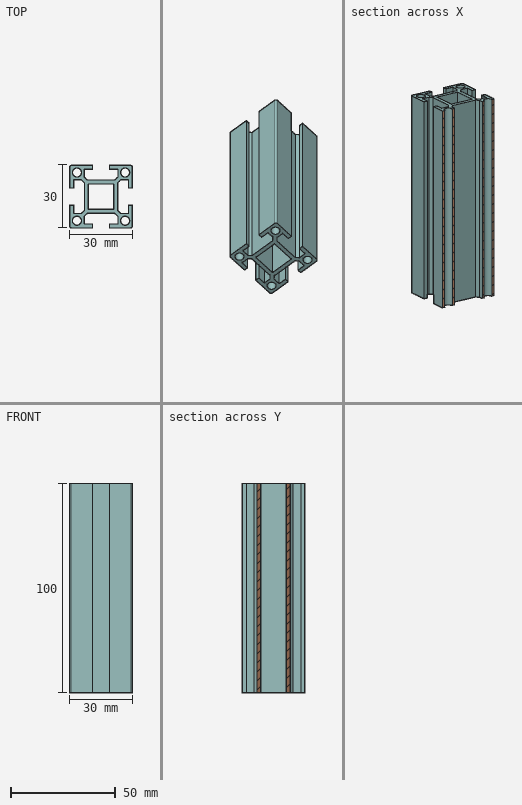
import cadquery as cq

side = 30.0
length = 100.0
corner_radius = 1.0
wall = 2.0

slot_opening = 8.0
lip_thickness = wall
cavity_width = 16.0
slot_depth = 7.0
cavity_chamfer = 1.4

core_square = side - 2 * slot_depth - 2 * wall
corner_hole_diameter = 4.2
corner_hole_spacing = 23.0


def make_t_slot():
    """T-slot cutter running the full length, opening on the +Y face."""
    cavity_depth = slot_depth - lip_thickness
    cavity_center = side / 2 - lip_thickness - cavity_depth / 2
    cavity = (
        cq.Workplane("XY")
        .center(0, cavity_center)
        .rect(cavity_width, cavity_depth)
        .extrude(length)
        .edges("|Z and <Y")
        .chamfer(cavity_chamfer)
    )
    opening = (
        cq.Workplane("XY")
        .center(0, side / 2 - slot_depth / 2)
        .rect(slot_opening, slot_depth)
        .extrude(length)
    )
    return cavity.union(opening)


result = (
    cq.Workplane("XY")
    .rect(side, side)
    .extrude(length)
    .edges("|Z")
    .fillet(corner_radius)
)

t_slot = make_t_slot()
for angle in (0, 90, 180, 270):
    result = result.cut(t_slot.rotate((0, 0, 0), (0, 0, 1), angle))

result = result.cut(cq.Workplane("XY").rect(core_square, core_square).extrude(length))

corner_holes = (
    cq.Workplane("XY")
    .rect(corner_hole_spacing, corner_hole_spacing, forConstruction=True)
    .vertices()
    .circle(corner_hole_diameter / 2)
    .extrude(length)
)
result = result.cut(corner_holes)